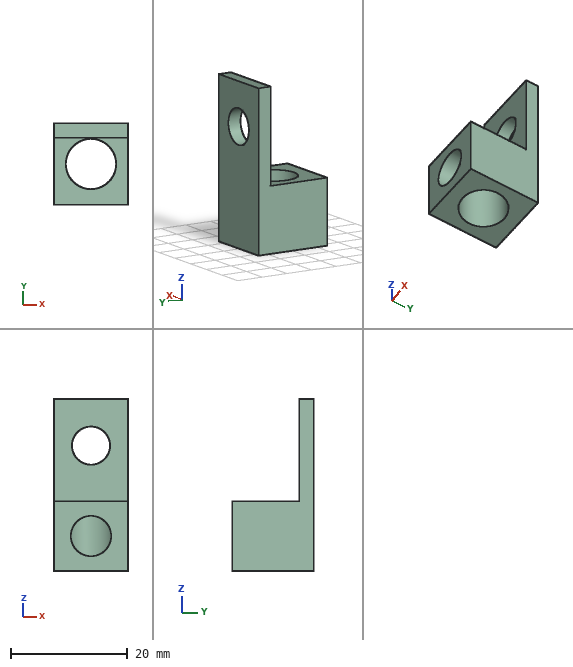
import cadquery as cq

width = 12.75
depth = 14.0
height = 29.5

block_height = 12.0
tab_thickness = 2.5

bore_diameter = 8.59
screw_hole_diameter = 6.92
tab_hole_diameter = 6.5
tab_hole_below_top = 8.0

front_y = -depth / 2
back_y = depth / 2
bore_y = 0.0
screw_hole_z = block_height / 2
tab_hole_z = height - tab_hole_below_top


def make_body():
    """L-shaped side profile extruded across the full width."""
    tab_front_y = back_y - tab_thickness
    return (
        cq.Workplane("YZ")
        .moveTo(front_y, 0)
        .lineTo(back_y, 0)
        .lineTo(back_y, height)
        .lineTo(tab_front_y, height)
        .lineTo(tab_front_y, block_height)
        .lineTo(front_y, block_height)
        .close()
        .extrude(width / 2, both=True)
    )


def cylinder_along_y(diameter, z, start_y, end_y):
    """Cutting cylinder centred on X = 0, running from start_y to end_y."""
    plane = cq.Plane(origin=(0, start_y, z), xDir=(1, 0, 0), normal=(0, 1, 0))
    return cq.Workplane(plane).circle(diameter / 2).extrude(end_y - start_y)


def make_bore():
    """Vertical bore through the block."""
    return (
        cq.Workplane("XY")
        .center(0, bore_y)
        .circle(bore_diameter / 2)
        .extrude(block_height)
    )


def make_screw_hole():
    """Clamping screw hole from the front face, ending inside the bore."""
    return cylinder_along_y(screw_hole_diameter, screw_hole_z, front_y, bore_y)


def make_tab_hole():
    """Mounting hole through the tab."""
    return cylinder_along_y(tab_hole_diameter, tab_hole_z, front_y, back_y)


result = make_body().cut(make_bore()).cut(make_screw_hole()).cut(make_tab_hole())